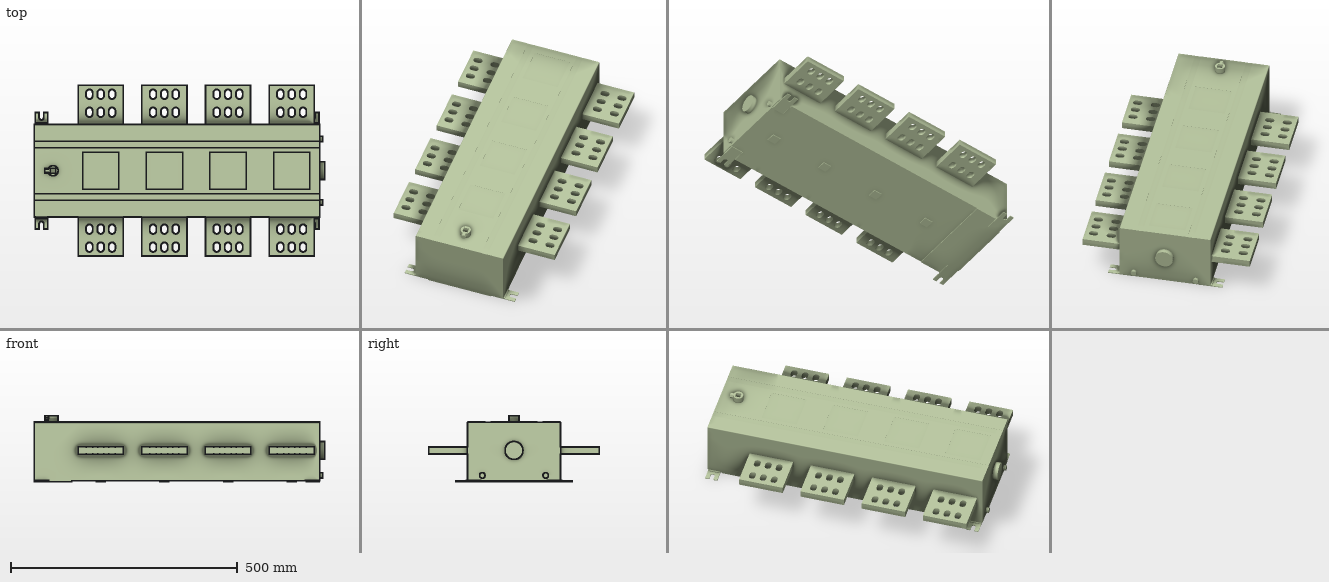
import cadquery as cq
import math

overall_length = 640.5
housing_length = 629.5
housing_width = 205.0
housing_bottom = 2.0
housing_top = 132.0
edge_fillet = 2.0
base_step_length = 83.0

marking_depth = 0.3
groove_center_y = 57.5
groove_width = 14.0
window_length = 80.0
window_width = 82.0

pole_count = 4
pole_pitch = 140.0
first_pole_x = 146.5
bar_width = 100.0
bar_length = 376.5
bar_thickness = 16.0
bar_center_z = 69.0
pad_size = 20.0
pole_xs = [first_pole_x + pole_pitch * index for index in range(pole_count)]

bolt_slot_width = 14.0
bolt_slot_length = 20.5
bolt_pitch_x = 25.0
bolt_pitch_y = 40.0
bolt_edge_distance = 20.0

foot_width = 28.0
foot_end_gap = 2.0
foot_outer_y = 129.0
foot_step_y = 106.0
foot_inner_y = 73.5
foot_thickness = 2.0
foot_step_height = 4.0
foot_slot_width = 9.5
foot_slot_depth = 16.5

shaft_diameter = 40.0
shaft_length = overall_length - housing_length
stud_diameter = 12.0
stud_length = 6.5
stud_y = 70.0
stud_z = 14.0

coupling_x = 41.5
coupling_diameter = 22.5
coupling_top = 146.0
socket_size = 11.5
screw_across_corners = 11.5
screw_end_x = 24.0


def box(x_range, y_range, z_range):
    """Axis-aligned box between the given limits."""
    size = [high - low for low, high in (x_range, y_range, z_range)]
    corner = (x_range[0], y_range[0], z_range[0])
    return cq.Workplane("XY").box(*size, centered=False).translate(corner)


def make_housing():
    half_width = housing_width / 2
    body = box((0, housing_length), (-half_width, half_width), (housing_bottom, housing_top))
    body = body.edges("|X and >Z").fillet(edge_fillet)
    step = box((0, base_step_length), (-half_width, half_width), (0, housing_bottom))
    return body.union(step)


def make_cover_markings():
    cover = cq.Workplane("XY", origin=(0, 0, housing_top - marking_depth))
    grooves = (
        cover.pushPoints([(housing_length / 2, side * groove_center_y) for side in (-1, 1)])
        .rect(housing_length, groove_width)
        .extrude(marking_depth)
    )
    windows = (
        cover.pushPoints([(x, 0) for x in pole_xs])
        .rect(window_length, window_width)
        .extrude(marking_depth)
    )
    return grooves.union(windows)


def make_terminal_bar():
    """Terminal bar centred on the origin, with two rows of bolt slots at each end."""
    bar = cq.Workplane("XY").box(bar_width, bar_length, bar_thickness)
    outer_row_y = bar_length / 2 - bolt_edge_distance
    rows = [side * (outer_row_y - row * bolt_pitch_y) for side in (-1, 1) for row in range(2)]
    slots = (
        cq.Workplane("XY")
        .pushPoints([(column * bolt_pitch_x, y) for column in (-1, 0, 1) for y in rows])
        .slot2D(bolt_slot_length, bolt_slot_width, 90)
        .extrude(bar_thickness, both=True)
    )
    return bar.cut(slots)


def make_foot(left_x):
    """Foot on the +Y side: a raised inner part, and an outer tab with an open slot."""
    x_range = (left_x, left_x + foot_width)
    inner = box(x_range, (foot_inner_y, foot_step_y), (0, foot_step_height))
    tab = box(x_range, (foot_inner_y, foot_outer_y), (0, foot_thickness))
    slot = (
        cq.Workplane("XY")
        .center(left_x + foot_width / 2, foot_outer_y)
        .slot2D(2 * foot_slot_depth, foot_slot_width, 90)
        .extrude(foot_thickness)
    )
    return inner.union(tab).cut(slot)


def make_foot_recess(left_x):
    """Opening in the underside of the housing around a +Y foot."""
    x_range = (left_x - foot_end_gap, left_x + foot_width + foot_end_gap)
    return box(x_range, (foot_inner_y, foot_step_y), (0, foot_step_height))


def make_end_cylinder(diameter, length, y, z):
    face = cq.Workplane("YZ", origin=(housing_length, y, z))
    return face.circle(diameter / 2).extrude(length)


def make_coupling():
    base = cq.Workplane("XY", origin=(coupling_x, 0, housing_top))
    height = coupling_top - housing_top
    barrel = base.circle(coupling_diameter / 2).extrude(height)
    screw_half_height = screw_across_corners / 2 * math.cos(math.pi / 6)
    screw = (
        cq.Workplane("YZ", origin=(screw_end_x, 0, coupling_top - screw_half_height))
        .polygon(6, screw_across_corners)
        .extrude(coupling_x - screw_end_x)
    )
    socket = base.rect(socket_size, socket_size).extrude(height)
    return barrel.union(screw).cut(socket)


result = make_housing().cut(make_cover_markings())

for left_x in (foot_end_gap, housing_length - foot_end_gap - foot_width):
    recess = make_foot_recess(left_x)
    foot = make_foot(left_x)
    result = result.cut(recess).cut(recess.mirror("XZ"))
    result = result.union(foot).union(foot.mirror("XZ"))

for x in pole_xs:
    result = result.union(make_terminal_bar().translate((x, 0, bar_center_z)))
    pad = cq.Workplane("XY").box(pad_size, pad_size, housing_bottom, centered=(True, True, False))
    result = result.union(pad.translate((x, 0, 0)))

result = result.union(make_end_cylinder(shaft_diameter, shaft_length, 0, bar_center_z))
for side in (-1, 1):
    result = result.union(make_end_cylinder(stud_diameter, stud_length, side * stud_y, stud_z))

result = result.union(make_coupling())